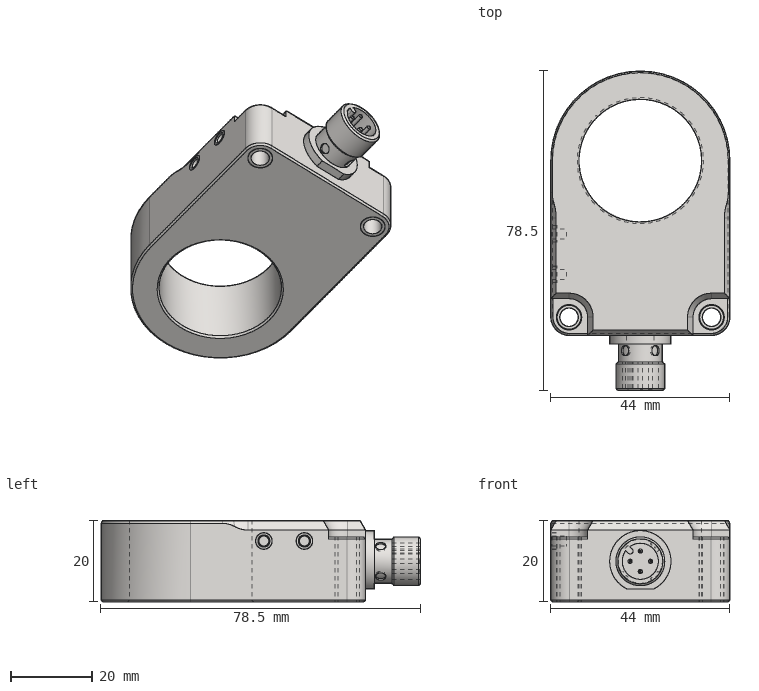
import cadquery as cq
import math

width = 44.0
height = 20.0
total_length = 78.5
body_length = 65.0
ring_radius = width / 2
half_width = width / 2
front_y = ring_radius - body_length
tip_y = ring_radius - total_length
ring_bore_diameter = 30.1
edge_chamfer = 0.5

rim_height = 2.35
rim_angle = 30.0
rim_inset = rim_height * math.tan(math.radians(rim_angle))
ring_rim_inset = 0.4
rim_overhang = rim_inset - ring_rim_inset
blend_start_y = -7.85
blend_length = 6.2

mount_x = 17.5
mount_y = -38.5
corner_radius = 4.6
notch_radius = 4.55
ledge_depth = 4.0
ledge_chamfer = 0.55
ledge_z = height - ledge_depth
mount_hole_diameter = 6.1
bushing_outer_diameter = 6.0
bushing_inner_diameter = 4.5

socket_first_y = -18.0
socket_spacing = 10.0
socket_z = height - 5.0
socket_diameter = 2.4
socket_mouth_diameter = 3.0
socket_depth = 3.9
groove_outer_diameter = 4.1
groove_inner_diameter = 4.0
groove_depth = 1.6

connector_z = height / 2
flange_diameter = 15.1
flange_thickness = 2.1
flange_flat_drop = 6.75
neck_diameter = 10.8
neck_length = 4.4
sleeve_diameter = 12.0
sleeve_chamfer = 0.5
window_diameter = 2.5
window_floor_diameter = 9.8
window_setback = 1.6
connector_bore_diameter = 8.9
connector_bore_depth = 7.1
pin_diameter = 1.0
pin_circle_radius = 2.5
pin_chamfer = 0.3
key_radius = 0.7
key_offset = 3.5
key_angle = -135

flange_front_y = front_y - flange_thickness
sleeve_back_y = flange_front_y - neck_length
bore_floor_y = tip_y + connector_bore_depth
quarter_turns = (0, 90, 180, 270)


def cylinder_toward_front(diameter, start_y, length, x=0.0, z=connector_z):
    """Cylinder that runs from start_y toward -Y."""
    return (
        cq.Workplane("XZ", origin=(x, start_y, z))
        .circle(diameter / 2)
        .extrude(length)
    )


def plan_prism(prism_height):
    """Plain plan shape of the housing: ring end, flat sides and two rounded front corners."""
    return (
        cq.Workplane("XY")
        .moveTo(-half_width, 0)
        .threePointArc((0, ring_radius), (half_width, 0))
        .lineTo(half_width, front_y)
        .lineTo(-half_width, front_y)
        .close()
        .extrude(prism_height)
        .edges("|Z and <Y")
        .fillet(corner_radius)
    )


def notched_outline():
    """Outline at the foot of the sloped rim: open at the mounting corners, wider than the body at the ring."""
    rim_radius = ring_radius + rim_overhang
    blend_middle_x = half_width + rim_overhang / 2
    blend_middle_y = blend_start_y - blend_length / 2
    blend_end_y = blend_start_y - blend_length
    notch_x = mount_x - notch_radius
    notch_y = mount_y + notch_radius
    arc_middle_x = mount_x - notch_radius * math.sqrt(0.5)
    arc_middle_y = mount_y + notch_radius * math.sqrt(0.5)
    return (
        cq.Workplane("XY", origin=(0, 0, height - rim_height))
        .moveTo(-rim_radius, 0)
        .threePointArc((0, rim_radius), (rim_radius, 0))
        .lineTo(rim_radius, blend_start_y)
        .tangentArcPoint((blend_middle_x, blend_middle_y), relative=False)
        .tangentArcPoint((half_width, blend_end_y), relative=False)
        .lineTo(half_width, notch_y)
        .lineTo(mount_x, notch_y)
        .threePointArc((arc_middle_x, arc_middle_y), (notch_x, mount_y))
        .lineTo(notch_x, front_y)
        .lineTo(-notch_x, front_y)
        .lineTo(-notch_x, mount_y)
        .threePointArc((-arc_middle_x, arc_middle_y), (-mount_x, notch_y))
        .lineTo(-half_width, notch_y)
        .lineTo(-half_width, blend_end_y)
        .tangentArcPoint((-blend_middle_x, blend_middle_y), relative=False)
        .tangentArcPoint((-rim_radius, blend_start_y), relative=False)
        .close()
    )


def make_block():
    """Housing body: a base up to the mounting ledges and a notched upper part with the sloped rim."""
    base = plan_prism(ledge_z).faces("<Z").edges().chamfer(edge_chamfer)
    base = base.faces(">Z").edges().chamfer(ledge_chamfer)
    step_height = ledge_depth - rim_height + ledge_chamfer
    upper = notched_outline().extrude(-step_height).union(notched_outline().extrude(rim_height, taper=rim_angle))
    return base.union(upper.intersect(plan_prism(height)))


def make_key():
    """Round-nosed rib along the connector bore, on the upper -X diagonal, flush with the sleeve end."""
    root_offset = connector_bore_diameter / 2 + key_radius / 2
    nose = cylinder_toward_front(2 * key_radius, bore_floor_y, connector_bore_depth, key_offset)
    web = (
        cq.Workplane("XZ", origin=((key_offset + root_offset) / 2, bore_floor_y, connector_z))
        .rect(root_offset - key_offset, 2 * key_radius)
        .extrude(connector_bore_depth)
    )
    return nose.union(web).rotate((0, 0, connector_z), (0, 1, connector_z), key_angle)


def make_windows():
    """Four round recesses around the neck that end on a cylindrical floor."""
    window_y = flange_front_y - window_setback
    windows = cq.Workplane("XY")
    for turn in quarter_turns:
        drill = (
            cq.Workplane("XY", origin=(0, window_y, connector_z))
            .circle(window_diameter / 2)
            .extrude(sleeve_diameter)
            .rotate((0, window_y, connector_z), (0, window_y + 0.8, connector_z), turn + 45)
        )
        windows = windows.add(drill)
    core = cylinder_toward_front(window_floor_diameter, flange_front_y, neck_length)
    return windows.combine().cut(core)


def make_connector():
    """Round plug with a flatted flange, a neck, a hollow sleeve, four pins and a key."""
    flange_flat = (
        cq.Workplane("XY", origin=(0, front_y - flange_thickness / 2, connector_z - flange_flat_drop))
        .rect(flange_diameter, flange_thickness)
        .extrude(-flange_diameter)
    )
    flange = cylinder_toward_front(flange_diameter, front_y, flange_thickness).cut(flange_flat)
    neck = cylinder_toward_front(neck_diameter, flange_front_y, neck_length).cut(make_windows())
    sleeve = (
        cylinder_toward_front(sleeve_diameter, sleeve_back_y, sleeve_back_y - tip_y)
        .faces("<Y or >Y")
        .edges()
        .chamfer(sleeve_chamfer)
    )
    bore = cylinder_toward_front(connector_bore_diameter, bore_floor_y, connector_bore_depth).cut(make_key())
    connector = flange.union(neck).union(sleeve).cut(bore)
    for angle in quarter_turns:
        pin_x = pin_circle_radius * math.cos(math.radians(angle))
        pin_z = connector_z + pin_circle_radius * math.sin(math.radians(angle))
        pin = cylinder_toward_front(pin_diameter, bore_floor_y, connector_bore_depth, pin_x, pin_z)
        connector = connector.union(pin.faces("<Y").edges().chamfer(pin_chamfer))
    return connector


def make_socket(y):
    """Material to remove for one side socket: countersunk blind hole and the groove around it."""
    face = cq.Workplane("YZ", origin=(-half_width, y, socket_z))
    mouth_chamfer = (socket_mouth_diameter - socket_diameter) / 2
    hole = face.circle(socket_diameter / 2).extrude(socket_depth)
    mouth = face.circle(socket_mouth_diameter / 2).extrude(mouth_chamfer, taper=45)
    groove = face.circle(groove_outer_diameter / 2).circle(groove_inner_diameter / 2).extrude(groove_depth)
    return hole.union(mouth).add(groove).combine()


def make_housing():
    """Sensor housing with its ring bore, mounting holes, side sockets and connector."""
    housing = make_block().union(make_connector())
    ring_bore = cq.Workplane("XY").circle(ring_bore_diameter / 2).extrude(height)
    bore_mouth = (
        cq.Workplane("XY")
        .circle(ring_bore_diameter / 2 + edge_chamfer)
        .extrude(edge_chamfer, taper=45)
    )
    housing = housing.cut(ring_bore).cut(bore_mouth)
    for side in (-1, 1):
        hole = cq.Workplane("XY", origin=(side * mount_x, mount_y, 0)).circle(mount_hole_diameter / 2)
        housing = housing.cut(hole.extrude(ledge_z))
    for index in range(2):
        housing = housing.cut(make_socket(socket_first_y - index * socket_spacing))
    return housing


def make_bushing(side):
    """Sleeve that fills one mounting hole with a thin clearance, flush with the ledge."""
    return (
        cq.Workplane("XY", origin=(side * mount_x, mount_y, 0))
        .circle(bushing_outer_diameter / 2)
        .circle(bushing_inner_diameter / 2)
        .extrude(ledge_z)
    )


housing = make_housing()
bushings = [make_bushing(side) for side in (-1, 1)]
result = cq.Compound.makeCompound([housing.val(), *[bushing.val() for bushing in bushings]])